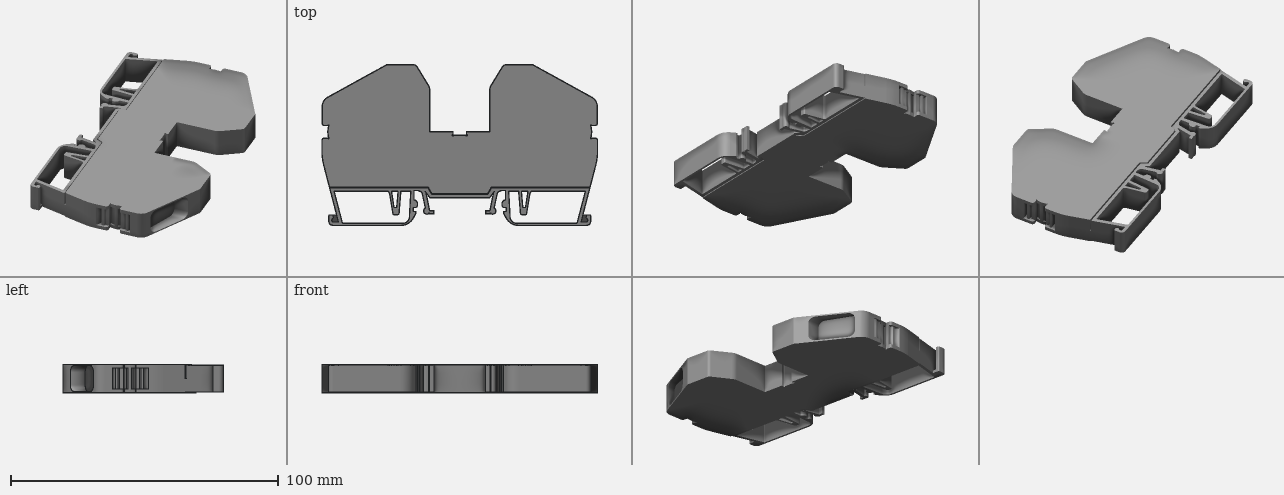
import cadquery as cq
import math


half_width = 51.5
height = 60.0
thickness = 10.7
foot_inset = 0.3
foot_thickness = thickness - 2 * foot_inset
mid_z = thickness / 2

shoulder_x, shoulder_y = -51.4, 46.8
shoulder_radius = 4.0
roof_left_x, roof_right_x = -27.3, -16.4
roof_radius = 1.5
bay_x, bay_bend_y = -11.1, 51.4
bay_bend_radius = 3.6
bay_floor_y = 35.0
key_x, key_y = -2.5, 33.8
relief_radius = 0.3
notch_relief_radius = 0.2

notch_top, notch_bottom = 37.3, 32.7
notch_floor_x, notch_crest_x = -49.0, -49.3
notch_upper_lip_radius, notch_lower_lip_radius = 0.9, 0.9
flank_top_y = 27.8
flank_y = 22.6
flank_slope = 0.26
flank_x = -half_width + (flank_top_y - flank_y) * math.tan(math.atan(flank_slope) / 2)

split_y, mid_split_y = 14.2, 11.7
split_bend_x, mid_split_x = -11.8, -10.4
slit_width = 0.4
slit_depth = mid_z
ledge_y, mid_ledge_y = 12.8, 10.3
mid_ledge_x = -11.1

web = 0.9
leg_inner_x = -46.9
wall_inner_top_x, wall_inner_low_x = -18.3, -19.0
wall_outer_x = -17.0
arch_y = 13.1
foot_corner_radius = 2.3
hook_x, hook_top = -48.9, 4.0
hook_radius, hook_tip_radius = 1.6, 0.5
hook_floor = 1.0

entry_left, entry_right = -48.1, -32.3
entry_width = 9.7
entry_radius = 2.5
entry_floor_left, entry_floor_right = 45.3, 51.7

window_width = 7.8


def flank(y):
    """X of the straight flank, which continues as the outer side of the leg."""
    return flank_x + flank_slope * (flank_y - y)


def extrude_outline(points, bottom, depth):
    return cq.Workplane("XY").workplane(offset=bottom).polyline(points).close().extrude(depth)


def round_edge(solid, x, y, radius):
    """Fillet the upright edge that passes through (x, y)."""
    reach = 0.05
    picker = cq.selectors.BoxSelector((x - reach, y - reach, -1), (x + reach, y + reach, thickness + 1))
    return solid.edges("|Z").edges(picker).fillet(radius)


def make_body():
    body = (
        cq.Workplane("XY")
        .moveTo(0, key_y)
        .lineTo(key_x, key_y)
        .lineTo(key_x, bay_floor_y)
        .lineTo(bay_x, bay_floor_y)
        .lineTo(bay_x, bay_bend_y)
        .lineTo(roof_right_x, height)
        .lineTo(roof_left_x, height)
        .lineTo(shoulder_x, shoulder_y)
        .lineTo(shoulder_x, notch_top)
        .lineTo(notch_floor_x, notch_top)
        .lineTo(notch_crest_x, (notch_top + notch_bottom) / 2)
        .lineTo(notch_floor_x, notch_bottom)
        .lineTo(-half_width, notch_bottom)
        .lineTo(-half_width, flank_top_y)
        .tangentArcPoint((flank_x, flank_y), relative=False)
        .lineTo(flank(split_y), split_y)
        .lineTo(split_bend_x, split_y)
        .lineTo(mid_split_x, mid_split_y)
        .lineTo(0, mid_split_y)
        .close()
        .extrude(thickness)
    )
    for x, y, radius in (
        (bay_x, bay_bend_y, bay_bend_radius),
        (roof_right_x, height, roof_radius),
        (shoulder_x, shoulder_y, shoulder_radius),
        (shoulder_x, notch_top, notch_upper_lip_radius),
        (-half_width, notch_bottom, notch_lower_lip_radius),
    ):
        body = round_edge(body, x, y, radius)
    key_relief = cq.Workplane("XY").center(key_x, key_y).circle(relief_radius).extrude(thickness)
    notch_reliefs = (
        cq.Workplane("XY")
        .pushPoints([(notch_floor_x, notch_top), (notch_floor_x, notch_bottom)])
        .circle(notch_relief_radius)
        .extrude(thickness)
    )
    return body.cut(key_relief).cut(notch_reliefs)


def make_wire_entry():
    """Rounded pocket opening through the sloped roof, with a sloped floor."""
    length = entry_right - entry_left
    shaft = (
        cq.Workplane("XZ", origin=((entry_left + entry_right) / 2, height, mid_z))
        .rect(length, entry_width)
        .extrude(height / 2)
        .edges("|Y")
        .fillet(entry_radius)
    )
    above_floor = extrude_outline(
        [
            (entry_left, entry_floor_left),
            (entry_right, entry_floor_right),
            (entry_right, height),
            (entry_left, height),
        ],
        0,
        thickness,
    )
    return shaft.intersect(above_floor)


def make_latch_windows():
    """Sawtooth recesses above and below the side notch."""
    outside = -half_width - 1
    outer_step, inner_step = -50.8, -50.2
    shallow, deep = -48.6, -48.0
    tooth_slope = 1.8

    def tooth(crest_x, crest_y, root_y):
        """Ramp going inwards from the crest up to the root, closed by a square step."""
        return (crest_x, crest_y), (crest_x + tooth_slope * (root_y - crest_y), root_y)

    upper = [
        (outside, 41.5),
        *reversed(tooth(outer_step, 40.4, 41.5)),
        (outer_step, 39.5),
        *reversed(tooth(inner_step, 38.8, 39.5)),
        (inner_step, notch_top),
        (deep, notch_top),
        (shallow, 36.4),
        (shallow, 35.7),
        (outside, 35.7),
    ]
    lower = [
        (outside, 28.0),
        *tooth(-half_width, 28.0, 29.9),
        (outer_step, 29.9),
        *tooth(outer_step, 30.8, 31.4),
        (inner_step, 31.4),
        (inner_step, notch_bottom),
        (deep, notch_bottom),
        (shallow, 33.8),
        (shallow, 34.4),
        (outside, 34.4),
    ]
    bottom = mid_z - window_width / 2
    return extrude_outline(upper, bottom, window_width).union(extrude_outline(lower, bottom, window_width))


def make_strip():
    """Strip below the split that carries the foot."""
    return extrude_outline(
        [
            (0, mid_split_y),
            (mid_split_x, mid_split_y),
            (split_bend_x, split_y),
            (flank(split_y), split_y),
            (flank(ledge_y), ledge_y),
            (wall_outer_x, ledge_y),
            (wall_outer_x, arch_y),
            (-15.7, arch_y),
            (-14.8, ledge_y),
            (-13.0, ledge_y),
            (mid_ledge_x, mid_ledge_y),
            (0, mid_ledge_y),
        ],
        foot_inset,
        foot_thickness,
    )


def make_center_pad():
    """Brings the underside of the middle strip flush with the body."""
    return extrude_outline(
        [
            (0, mid_split_y),
            (mid_split_x, mid_split_y),
            (mid_ledge_x, mid_ledge_y),
            (0, mid_ledge_y),
        ],
        0,
        foot_inset,
    )


def make_slit():
    """Thin slit along the split, cut halfway down from the upper face."""
    half = slit_width / 2
    left = flank(split_y) - 1
    path = [(left, split_y), (split_bend_x, split_y), (mid_split_x, mid_split_y), (0, mid_split_y)]
    upper = [(x, y + half) for x, y in path]
    lower = [(x, y - half) for x, y in reversed(path)]
    return extrude_outline(upper + lower, thickness - slit_depth, slit_depth)


def make_foot():
    """Hooked frame that hangs below the strip."""
    inner_slope_x = leg_inner_x + flank_slope * (ledge_y - web)
    frame = (
        cq.Workplane("XY")
        .workplane(offset=foot_inset)
        .moveTo(flank(ledge_y), ledge_y)
        .lineTo(flank(hook_top), hook_top)
        .lineTo(hook_x, hook_top)
        .lineTo(hook_x, 0)
        .lineTo(-21.9, 0)
        .tangentArcPoint((-17.5, 2.5), relative=False)
        .lineTo(-16.4, 4.4)
        .lineTo(-16.4, 5.3)
        .lineTo(-17.3, 5.3)
        .lineTo(-17.3, 6.7)
        .lineTo(-16.3, 6.7)
        .threePointArc((-15.8, 8.4), (wall_outer_x, 9.6))
        .lineTo(wall_outer_x, ledge_y)
        .close()
        .extrude(foot_thickness)
    )
    frame = round_edge(frame, hook_x, 0, hook_radius)
    frame = round_edge(frame, hook_x, hook_top, hook_tip_radius)
    window = extrude_outline(
        [
            (leg_inner_x, ledge_y),
            (inner_slope_x, web),
            (wall_inner_low_x, web),
            (wall_inner_top_x, ledge_y),
        ],
        foot_inset,
        foot_thickness,
    )
    window = round_edge(window, wall_inner_low_x, web, foot_corner_radius)
    window = round_edge(window, inner_slope_x, web, 0.3)
    return frame.cut(window).cut(make_hook_pocket())


def make_hook_pocket():
    """Blind pocket between the hook lip and the leg."""
    bottom = foot_inset + hook_floor
    return (
        cq.Workplane("XY")
        .workplane(offset=bottom)
        .moveTo(flank(hook_top), hook_top)
        .lineTo(-47.6, hook_top)
        .lineTo(-47.1, 3.1)
        .lineTo(-47.6, 2.5)
        .threePointArc((-47.8, 1.9), (-47.3, 1.2))
        .lineTo(flank(1.2), 1.2)
        .close()
        .extrude(foot_thickness)
    )


def make_fin():
    """Hollow tapered fin inside the foot window."""
    tip_y = 4.0
    root_y = 6.8
    fin = extrude_outline(
        [(-26.8, ledge_y), (-26.3, 12.0), (-24.9, tip_y), (-22.7, tip_y), (-21.9, ledge_y)],
        foot_inset,
        foot_thickness,
    )
    fin = fin.edges("|Z and <Y").fillet(0.6)
    slot = extrude_outline(
        [(-25.4, ledge_y), (-24.5, root_y), (-23.6, root_y), (-23.1, ledge_y)], foot_inset, foot_thickness
    )
    return fin.cut(slot)


def make_spring_arm():
    """Arm with a rounded heel and a square toe next to the snap bump."""
    return (
        cq.Workplane("XY")
        .workplane(offset=foot_inset)
        .moveTo(-15.0, ledge_y)
        .threePointArc((-14.3, 12.5), (-14.0, 11.7))
        .lineTo(-12.9, 6.5)
        .threePointArc((-13.5, 5.2), (-12.2, 4.2))
        .lineTo(-11.6, 4.2)
        .lineTo(-11.6, 4.6)
        .lineTo(-11.3, 4.6)
        .lineTo(-11.3, 4.3)
        .lineTo(-9.7, 4.3)
        .lineTo(-9.7, 5.6)
        .lineTo(-11.2, 5.6)
        .lineTo(-12.6, 12.2)
        .lineTo(-13.0, ledge_y)
        .close()
        .extrude(foot_thickness)
    )


body = make_body().cut(make_wire_entry()).cut(make_latch_windows())
rail_side = make_strip().union(make_center_pad()).union(make_foot())
rail_side = rail_side.union(make_fin()).union(make_spring_arm())
half = body.union(rail_side).cut(make_slit())
result = half.union(half.mirror("YZ"))